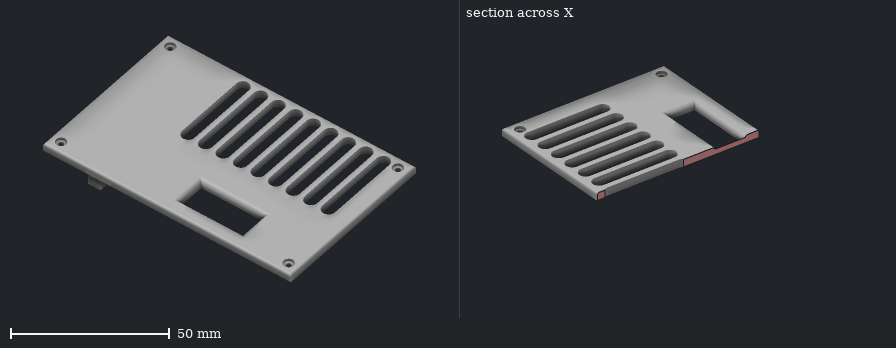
import cadquery as cq

plate_length = 99.0
plate_width = 64.0
plate_thickness = 3.0
plate_edge_radius = 1.0

screw_inset = 4.1
screw_hole_diameter = 2.0
screw_head_diameter = 4.0
screw_head_depth = 1.0

slot_count = 9
slot_width = 5.0
slot_length = 33.0
first_slot_x = 33.5
last_slot_x = 89.5
slot_pitch = (last_slot_x - first_slot_x) / (slot_count - 1)
slot_back_margin = 2.1

window_length = 25.0
window_width = 10.8
window_rim_radius = 2.0
window_x = 62.5
window_y = 11.5
selection_margin = 0.1

pin_diameter = 5.0
pin_height = 1.5
pin_x_positions = (40.0, 83.0)

total_height = 13.0
post_height = total_height - plate_thickness
post_length = 5.0
post_width = 3.0
post_x = 16.5
post_y = 6.5


def make_plate():
    plate = cq.Workplane("XY").box(plate_length, plate_width, plate_thickness, centered=False)
    return plate.faces(">Z").edges().fillet(plate_edge_radius)


def cut_window(body):
    opening = (
        cq.Workplane("XY")
        .center(window_x, window_y)
        .rect(window_length, window_width)
        .extrude(plate_thickness)
    )
    body = body.cut(opening)
    rim_box_x = window_length / 2 + selection_margin
    rim_box_y = window_width / 2 + selection_margin
    rim = cq.selectors.BoxSelector(
        (window_x - rim_box_x, window_y - rim_box_y, plate_thickness - selection_margin),
        (window_x + rim_box_x, window_y + rim_box_y, plate_thickness + selection_margin),
    )
    return body.edges(rim).fillet(window_rim_radius)


def cut_slots(body):
    slot_y = plate_width - slot_back_margin - slot_length / 2
    centers = [(first_slot_x + i * slot_pitch, slot_y) for i in range(slot_count)]
    slots = (
        cq.Workplane("XY")
        .pushPoints(centers)
        .slot2D(slot_length, slot_width, 90)
        .extrude(plate_thickness)
    )
    return body.cut(slots)


def cut_screw_holes(body):
    return (
        body.faces(">Z")
        .workplane(origin=(plate_length / 2, plate_width / 2, plate_thickness))
        .rect(plate_length - 2 * screw_inset, plate_width - 2 * screw_inset, forConstruction=True)
        .vertices()
        .cboreHole(screw_hole_diameter, screw_head_diameter, screw_head_depth)
    )


def add_pins(body):
    pins = (
        cq.Workplane("XY")
        .pushPoints([(x, window_y) for x in pin_x_positions])
        .circle(pin_diameter / 2)
        .extrude(-pin_height)
    )
    return body.union(pins)


def add_post(body):
    post = (
        cq.Workplane("XY")
        .center(post_x, post_y)
        .rect(post_length, post_width)
        .extrude(-post_height)
    )
    return body.union(post)


result = make_plate()
result = cut_window(result)
result = cut_slots(result)
result = cut_screw_holes(result)
result = add_pins(result)
result = add_post(result)